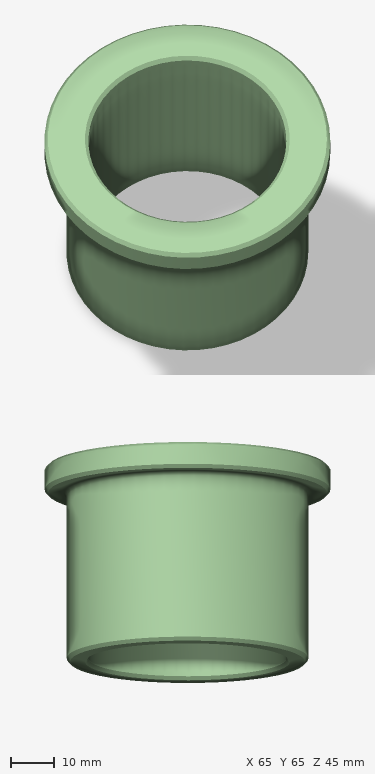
import cadquery as cq

flange_diameter = 65.0
body_diameter = 55.0
bore_diameter = 45.0
total_height = 45.0
flange_thickness = 6.0
edge_chamfer = 0.8
neck_radius = 0.85

flange_bottom = total_height - flange_thickness


def make_body():
    """Cylindrical sleeve with a chamfered lower edge."""
    sleeve = cq.Workplane("XY").circle(body_diameter / 2).extrude(total_height)
    return sleeve.faces("<Z").edges().chamfer(edge_chamfer)


def make_flange():
    """Disc at the top of the sleeve, chamfered on both rims."""
    disc = cq.Workplane("XY").workplane(offset=flange_bottom)
    disc = disc.circle(flange_diameter / 2).extrude(flange_thickness)
    return disc.edges().chamfer(edge_chamfer)


def fillet_neck(bushing):
    """Round the inner corner between the sleeve and the flange."""
    neck_edge = cq.selectors.RadiusNthSelector(0)
    flange_underside = bushing.faces(cq.selectors.NearestToPointSelector(
        ((flange_diameter + body_diameter) / 4, 0, flange_bottom)))
    return flange_underside.edges(neck_edge).fillet(neck_radius)


def cut_bore(bushing):
    """Cut the through bore, chamfered at both ends."""
    bore = cq.Workplane("XY").circle(bore_diameter / 2).extrude(total_height)
    lead_in = (
        cq.Workplane("XY")
        .circle(bore_diameter / 2 + edge_chamfer)
        .workplane(offset=edge_chamfer)
        .circle(bore_diameter / 2)
        .loft(ruled=True)
    )
    top_lead_in = lead_in.mirror("XY").translate((0, 0, total_height))
    return bushing.cut(bore).cut(lead_in).cut(top_lead_in)


result = cut_bore(fillet_neck(make_body().union(make_flange())))